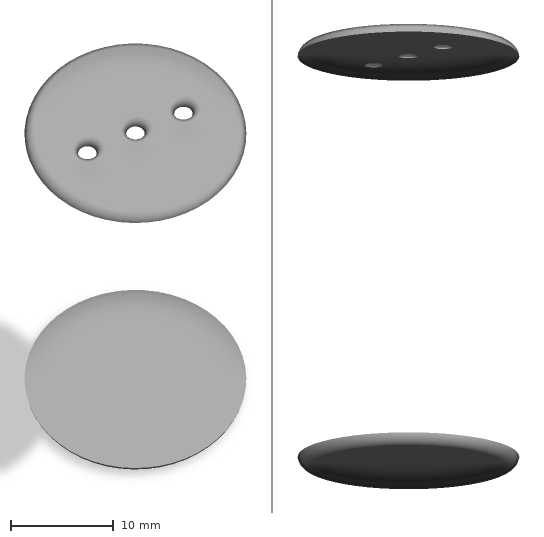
import cadquery as cq

disc_diameter = 21.6
total_height = 42.0
disc_thickness = 1.0

rim_width = 1.18

hole_diameter = 1.8
hole_count = 3
hole_pitch = 5.25

disc_radius = disc_diameter / 2
hole_radius = hole_diameter / 2
half_height = total_height / 2
inner_face_z = half_height - disc_thickness


def make_rounded_disc():
    """Disc at the top of the assembly, with its rounded rim on the upper side."""
    flat_radius = disc_radius - rim_width
    return (
        cq.Workplane("XZ")
        .moveTo(0, inner_face_z)
        .lineTo(0, half_height)
        .lineTo(flat_radius, half_height)
        .tangentArcPoint((disc_radius, inner_face_z), relative=False)
        .close()
        .revolve(360, (0, 0), (0, 1))
    )


def make_flared_hole():
    """Cutter on the Z axis that flares upward along a quarter circle."""
    flare_radius = hole_radius + disc_thickness
    return (
        cq.Workplane("XZ")
        .moveTo(0, inner_face_z)
        .lineTo(hole_radius, inner_face_z)
        .radiusArc((flare_radius, half_height), disc_thickness)
        .lineTo(0, half_height)
        .close()
        .revolve(360, (0, 0), (0, 1))
    )


def make_upper_disc():
    """Rounded disc with the row of through holes."""
    disc = make_rounded_disc()
    for index in range(hole_count):
        hole_y = (index - (hole_count - 1) / 2) * hole_pitch
        disc = disc.cut(make_flared_hole().translate((0, hole_y, 0)))
    return disc


def make_lower_disc():
    """Plain disc with its rounded rim facing down."""
    return make_rounded_disc().mirror("XY")


upper_disc = make_upper_disc()
lower_disc = make_lower_disc()

result = cq.Compound.makeCompound([upper_disc.solids().val(), lower_disc.val()])